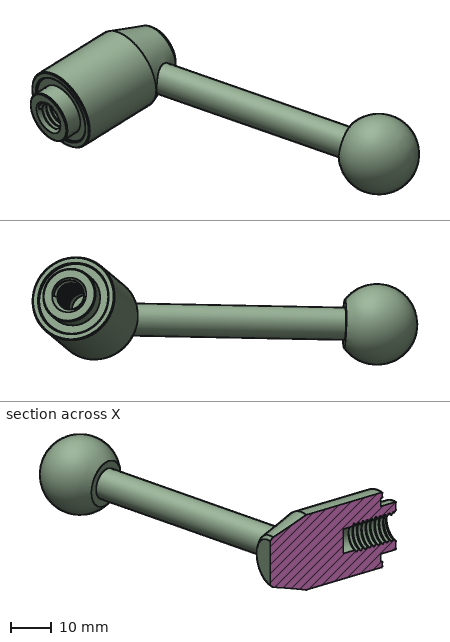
import cadquery as cq
import math

body_dia = 21.0
body_length = 33.0
shoulder_height = 22.4
taper_end_dia = 14.0
end_chamfer = 0.85
lower_edge_chamfer = 0.25

recess_dia = 18.1
recess_depth = 0.5
recess_edge_chamfer = 0.25

insert_dia = 13.4
insert_projection = 4.0
insert_edge_chamfer = 0.25
bore_dia = 6.7
bore_depth = 15.4
thread_major_dia = 8.0
thread_pitch = 1.3
thread_start = 0.4
thread_start_angle = 180
thread_length = 12.0
groove_width = 1.2
groove_overlap = 0.04
countersink_dia = 8.7

arm_dia = 8.0
arm_angle = 20
ball_dia = 20.0
ball_x = 65.0
ball_y = 46.9
ball_flat_offset = 8.0

arm_length = ball_x / math.cos(math.radians(arm_angle))


def revolve_about_y(points):
    """Turn a closed (radius, Y) outline about the Y axis."""
    return cq.Workplane("XY").polyline(points).close().revolve(360, (0, 0, 0), (0, 1, 0))


def make_body():
    radius = body_dia / 2
    recess_radius = recess_dia / 2
    taper_end_radius = taper_end_dia / 2
    return revolve_about_y([
        (0, recess_depth),
        (recess_radius - recess_edge_chamfer, recess_depth),
        (recess_radius - recess_edge_chamfer, recess_edge_chamfer),
        (recess_radius, 0),
        (radius - lower_edge_chamfer, 0),
        (radius, lower_edge_chamfer),
        (radius, shoulder_height),
        (taper_end_radius, body_length - end_chamfer),
        (taper_end_radius - end_chamfer, body_length),
        (0, body_length),
    ])


def make_insert():
    radius = insert_dia / 2
    return revolve_about_y([
        (0, -insert_projection),
        (radius - insert_edge_chamfer, -insert_projection),
        (radius, insert_edge_chamfer - insert_projection),
        (radius, recess_depth),
        (0, recess_depth),
    ])


def make_bore():
    """Blind bore with a 45-degree countersunk mouth."""
    bore_radius = bore_dia / 2
    countersink_radius = countersink_dia / 2
    countersink_depth = countersink_radius - bore_radius
    bore_end = bore_depth - insert_projection
    return revolve_about_y([
        (0, -insert_projection),
        (countersink_radius, -insert_projection),
        (bore_radius, countersink_depth - insert_projection),
        (bore_radius, bore_end),
        (0, bore_end),
    ])


def make_thread_groove():
    """Right-hand helical V groove, wound about Z and then laid along Y."""
    bore_radius = bore_dia / 2
    inner_radius = bore_radius - groove_overlap
    helix = cq.Wire.makeHelix(thread_pitch, thread_length, bore_radius)
    groove = (
        cq.Workplane("XZ")
        .polyline([
            (inner_radius, -groove_width / 2),
            (thread_major_dia / 2, 0),
            (inner_radius, groove_width / 2),
        ])
        .close()
        .sweep(helix, isFrenet=True)
    )
    return (
        groove.rotate((0, 0, 0), (0, 0, 1), thread_start_angle)
        .rotate((0, 0, 0), (1, 0, 0), -90)
        .translate((0, thread_start - insert_projection, 0))
    )


def make_arm_and_ball():
    """Arm laid along X, ending in a ball with a flat, then tilted and moved into place."""
    arm = cq.Workplane("YZ").circle(arm_dia / 2).extrude(arm_length)
    cap = (
        cq.Workplane("YZ", origin=(arm_length - ball_flat_offset, 0, 0))
        .rect(ball_dia, ball_dia)
        .extrude(-ball_dia)
    )
    ball = cq.Workplane("XY", origin=(arm_length, 0, 0)).sphere(ball_dia / 2).cut(cap)
    arm_start_y = ball_y - arm_length * math.sin(math.radians(arm_angle))
    return (
        arm.union(ball)
        .rotate((0, 0, 0), (0, 0, 1), arm_angle)
        .translate((0, arm_start_y, 0))
    )


result = (
    make_body()
    .union(make_insert())
    .union(make_arm_and_ball())
    .cut(make_bore())
    .cut(make_thread_groove())
)